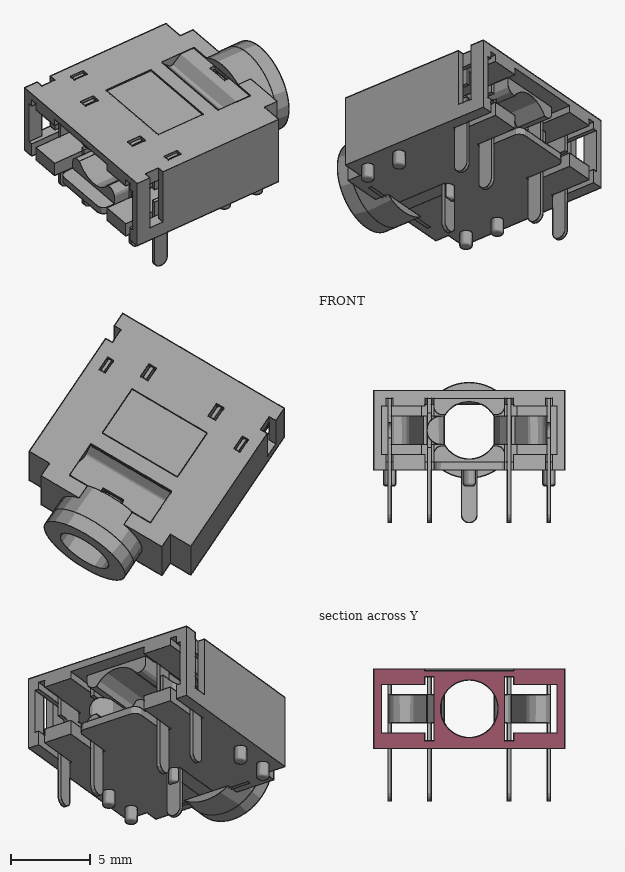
import cadquery as cq
import math


total_length = 14.0
total_height = 8.8
body_width = 12.0
body_height = 5.0
body_depth = 11.0
nose_width = 8.96
nose_depth = 1.0
barrel_dia = 6.0
flange_length = 1.0
bore_dia = 3.6
tube_dia = 4.2
tube_hole_dia = 4.21
top_z = body_height / 2
bottom_z = -top_z
barrel_end = total_length - flange_length

pin_tip_z = barrel_dia / 2 - total_height
pin_width = 1.0
tab_corner = 0.2
pin_rear = 2.0
pin_front = pin_rear + pin_width

chamber_half_width = 5.5
chamber_half_height = 1.51
chamber_depth = 10.0
groove_half_height = 2.0
frame_depth = 1.0
outer_pin_x = 5.0
outer_groove_width = 0.45
outer_front = pin_front + pin_width
inner_pin_x = 2.5
inner_groove_width = 0.56
block_half_width = inner_pin_x - inner_groove_width / 2
middle_half_width = inner_pin_x + inner_groove_width / 2
block_corner = 0.53
block_split_half = 0.98
block_split_end = 6.3
tongue_corner = 0.49
window_depth = body_width / 2 - chamber_half_width
label_front = 7.49
label_recess = 0.1

peg_dia = 0.8
peg_length = 1.0
peg_rounding = 0.17
peg_rear_y = 7.5
peg_front_y = 10.0

sleeve_width = barrel_dia
sleeve_sheet = 0.24
sleeve_slot_rear = 8.5
sleeve_plate_rear = 11.27
sleeve_top_z = 2.46
sleeve_bend = 0.69
sleeve_flat_end = 10.1
sleeve_dip_angle = math.radians(42)
sleeve_crest_radius = 0.18
sleeve_valley_radius = 0.4
sleeve_slope = 0.66
sleeve_rise = 0.6
sleeve_pin_bend = 0.35
sleeve_notch_width = 1.53
tube_end = 10.6

strip_height = 1.76
outer_sheet = 0.22
inner_sheet = 0.25
plate_notch_height = 0.98
plate_notch_depth = 0.9
outer_turn_y = 6.02
outer_turn_radius = 0.73
outer_end_y = 3.08
switch_gap = 0.01
tab_top_z = 2.45
apex_x = 1.68
left_notch_half = 1.09
left_notch_depth = 0.4
left_turn_y = 5.6
left_tip_radius = 0.98
right_bow_radius = 1.74
right_bow_end = 0.84


def box(x0, x1, y0, y1, z0, z1):
    """Block between two opposite corners."""
    return cq.Workplane("XY").box(x1 - x0, y1 - y0, z1 - z0, centered=False).translate((x0, y0, z0))


def wide_box(half_width, y0, y1, z0, z1):
    """Block centred on the X = 0 plane."""
    return box(-half_width, half_width, y0, y1, z0, z1)


def y_cylinder(diameter, y0, y1):
    """Cylinder on the plug axis."""
    return cq.Workplane("XZ", origin=(0, y0, 0)).circle(diameter / 2).extrude(y0 - y1)


def pin_blade(y0, y1, top, thickness):
    """Flat pin in a YZ plane, centred on X = 0, with a fully rounded lower end."""
    radius = (y1 - y0) / 2
    return (
        cq.Workplane("YZ", origin=(-thickness / 2, 0, 0))
        .moveTo(y0, top)
        .lineTo(y0, pin_tip_z + radius)
        .threePointArc(((y0 + y1) / 2, pin_tip_z), (y1, pin_tip_z + radius))
        .lineTo(y1, top)
        .close()
        .extrude(thickness)
    )


def strip(path, x, y, thickness):
    """Spring strip that follows a path in the XY plane; the path starts along +Y at (x, y)."""
    return (
        cq.Workplane("XZ", origin=(x, y, 0))
        .rect(thickness, strip_height)
        .sweep(path)
    )


def make_sleeve_contact():
    half = sleeve_sheet / 2
    plate_y = sleeve_plate_rear + half
    flat_z = sleeve_top_z - half
    bend_y = plate_y - sleeve_bend
    bend_z = flat_z - sleeve_bend
    diagonal = math.sqrt(0.5)
    sin_dip = math.sin(sleeve_dip_angle)
    cos_dip = math.cos(sleeve_dip_angle)
    sin_mid = math.sin(sleeve_dip_angle / 2)
    cos_mid = math.cos(sleeve_dip_angle / 2)

    crest_z = flat_z - sleeve_crest_radius
    slope_y = sleeve_flat_end - sleeve_crest_radius * sin_dip
    slope_z = crest_z + sleeve_crest_radius * cos_dip
    dip_y = slope_y - sleeve_slope * cos_dip
    dip_z = slope_z - sleeve_slope * sin_dip
    valley_y = dip_y - sleeve_valley_radius * sin_dip
    valley_z = dip_z - sleeve_valley_radius * (1 - cos_dip)
    rise_y = valley_y - sleeve_valley_radius * sin_dip
    path = (
        cq.Workplane("YZ")
        .moveTo(plate_y, bottom_z)
        .lineTo(plate_y, bend_z)
        .threePointArc(
            (bend_y + sleeve_bend * diagonal, bend_z + sleeve_bend * diagonal),
            (bend_y, flat_z),
        )
        .lineTo(sleeve_flat_end, flat_z)
        .threePointArc(
            (sleeve_flat_end - sleeve_crest_radius * sin_mid, crest_z + sleeve_crest_radius * cos_mid),
            (slope_y, slope_z),
        )
        .lineTo(dip_y, dip_z)
        .threePointArc((valley_y, valley_z), (rise_y, dip_z))
        .lineTo(rise_y - sleeve_rise * cos_dip, dip_z + sleeve_rise * sin_dip)
    )
    sheet = (
        cq.Workplane("XY", origin=(0, plate_y, bottom_z))
        .rect(sleeve_width, sleeve_sheet)
        .sweep(path)
    )
    notch = wide_box(sleeve_notch_width / 2, tube_end, body_depth, flat_z - sleeve_bend, top_z)
    sheet = sheet.cut(notch).cut(y_cylinder(tube_hole_dia, tube_end, barrel_end))

    pin_back = peg_rear_y - half
    foot = wide_box(pin_width / 2, pin_back, plate_y + half, bottom_z, bottom_z + sleeve_sheet)
    pin = (
        pin_blade(-pin_width / 2, pin_width / 2, bottom_z + sleeve_sheet, sleeve_sheet)
        .rotate((0, 0, 0), (0, 0, 1), 90)
        .translate((0, peg_rear_y, 0))
    )
    leg = foot.union(pin).edges("|X and >Z and <Y").fillet(sleeve_pin_bend)
    return sheet.union(leg)


def make_bushing():
    flange = y_cylinder(barrel_dia, barrel_end, total_length)
    tube = y_cylinder(tube_dia, tube_end, barrel_end)
    return flange.union(tube).cut(y_cylinder(bore_dia, tube_end, total_length))


def rear_chamber():
    """Rear opening with the grooves for the pins, less the block around the bore."""
    chamber = wide_box(chamber_half_width, 0, chamber_depth, -chamber_half_height, chamber_half_height)
    middle = wide_box(
        middle_half_width, 0, sleeve_plate_rear, -groove_half_height, groove_half_height
    )
    beside_plate = wide_box(
        sleeve_width / 2, 0, sleeve_plate_rear, -chamber_half_height, chamber_half_height
    )
    block = wide_box(
        block_half_width, frame_depth, sleeve_plate_rear, -groove_half_height, groove_half_height
    )
    split = wide_box(
        block_half_width + block_corner, frame_depth, block_split_end, -block_split_half, block_split_half
    )
    block = block.cut(split)
    for z in (-block_split_half, block_split_half):
        for x in (-block_half_width, block_half_width):
            edge = cq.NearestToPointSelector((x, (frame_depth + block_split_end) / 2, z))
            block = block.edges("|Y").edges(edge).fillet(block_corner)
    return chamber.union(middle).union(beside_plate).cut(block)


def outer_pin_groove():
    half = outer_groove_width / 2
    groove = wide_box(half, 0, outer_front, -groove_half_height, groove_half_height)
    roof_slot = wide_box(half, pin_front, outer_front, 0, top_z)
    floor_slit = wide_box(half, 0, pin_front, bottom_z, 0)
    return groove.union(roof_slot).union(floor_slit)


def inner_pin_groove():
    half = inner_groove_width / 2
    roof_slot = wide_box(half, pin_rear, pin_front, 0, top_z)
    floor_slit = wide_box(half, 0, pin_front, bottom_z, 0)
    return roof_slot.union(floor_slit)


def tongue_corners():
    """Waste that rounds the two rear corners of the floor tongue."""
    waste = wide_box(block_half_width, 0, tongue_corner, bottom_z, -groove_half_height)
    rounded = (
        wide_box(block_half_width, 0, 2 * tongue_corner, bottom_z, -groove_half_height)
        .edges("|Z and <Y")
        .fillet(tongue_corner)
    )
    return waste.cut(rounded)


def peg(x, y):
    return (
        cq.Workplane("XY", origin=(x, y, bottom_z))
        .circle(peg_dia / 2)
        .extrude(-peg_length)
        .faces("<Z")
        .fillet(peg_rounding)
    )


def make_housing(contact):
    housing = wide_box(body_width / 2, 0, body_depth, bottom_z, top_z)
    nose = wide_box(nose_width / 2, body_depth, body_depth + nose_depth, bottom_z, top_z)
    housing = housing.union(nose).union(y_cylinder(barrel_dia, body_depth, barrel_end))

    housing = housing.cut(rear_chamber()).cut(tongue_corners())
    housing = housing.cut(y_cylinder(bore_dia, frame_depth, barrel_end))
    housing = housing.cut(y_cylinder(tube_hole_dia, tube_end, barrel_end))

    for side in (-1, 1):
        housing = housing.cut(outer_pin_groove().translate((side * outer_pin_x, 0, 0)))
        housing = housing.cut(inner_pin_groove().translate((side * inner_pin_x, 0, 0)))
        window = wide_box(window_depth, frame_depth, pin_rear, -chamber_half_height, top_z)
        housing = housing.cut(window.translate((side * body_width / 2, 0, 0)))
        for y in (peg_rear_y, peg_front_y):
            housing = housing.union(peg(side * outer_pin_x, y))

    pin_back = peg_rear_y - sleeve_sheet / 2
    rear_half = wide_box(peg_dia, pin_back - peg_dia, pin_back, bottom_z - peg_length, bottom_z)
    housing = housing.union(peg(0, peg_rear_y).intersect(rear_half))

    label = wide_box(middle_half_width, outer_front, label_front, top_z - label_recess, top_z)
    slot = wide_box(sleeve_width / 2, sleeve_slot_rear, body_depth, chamber_half_height, top_z)
    return housing.cut(label).cut(slot).cut(contact)


def make_outer_terminal(reaches_switch):
    """Terminal on the +X side; its spring may run on alongside the inner pin plate."""
    half = outer_sheet / 2
    pin = pin_blade(pin_rear, pin_front, 0, outer_sheet)
    web = (
        wide_box(half, pin_rear, outer_front, -groove_half_height, groove_half_height)
        .edges("|X and >Z and <Y")
        .fillet(tab_corner)
    )
    tab = wide_box(half, pin_front, outer_front, 0, tab_top_z).edges("|X and >Z").fillet(tab_corner)
    notch = (
        cq.Workplane("YZ", origin=(-half, 0, 0))
        .center(pin_rear, 0)
        .slot2D(2 * plate_notch_depth, plate_notch_height)
        .extrude(outer_sheet)
    )
    plate = pin.union(web).union(tab).cut(notch).translate((outer_pin_x, 0, 0))

    turn_x = outer_pin_x - outer_turn_radius
    end_x = inner_pin_x + (inner_sheet + outer_sheet) / 2 + switch_gap
    reach_x = turn_x - end_x
    reach_y = outer_turn_y - outer_end_y
    reach = math.hypot(reach_x, reach_y)
    leave_angle = math.atan2(-reach_y, -reach_x) - math.acos(outer_turn_radius / reach)
    path = (
        cq.Workplane("XY")
        .moveTo(outer_pin_x, outer_front)
        .lineTo(outer_pin_x, outer_turn_y)
        .threePointArc(
            (turn_x, outer_turn_y + outer_turn_radius),
            (
                turn_x + outer_turn_radius * math.cos(leave_angle),
                outer_turn_y + outer_turn_radius * math.sin(leave_angle),
            ),
        )
        .lineTo(end_x, outer_end_y)
    )
    terminal = plate.union(strip(path, outer_pin_x, outer_front, outer_sheet))
    if reaches_switch:
        tail_end = outer_end_y + half
        tail = box(end_x - half, end_x + half, pin_rear, tail_end, -strip_height / 2, strip_height / 2)
        terminal = terminal.union(tail)
    return terminal


def inner_plate():
    plate = pin_blade(pin_rear, pin_front, tab_top_z, inner_sheet)
    return plate.edges("|X and >Z").fillet(tab_corner)


def make_left_inner_terminal():
    """Hairpin spring; its round tip leans out through a notch in the plate."""
    half = inner_sheet / 2
    notch = wide_box(half, pin_rear, pin_rear + left_notch_depth, -left_notch_half, left_notch_half)
    plate = inner_plate().cut(notch).translate((-inner_pin_x, 0, 0))
    turn_radius = (inner_pin_x - apex_x) / 2
    tip_x = -apex_x - left_tip_radius
    tip_y = pin_rear
    bend = left_tip_radius * math.sqrt(0.5)
    path = (
        cq.Workplane("XY")
        .moveTo(-inner_pin_x, pin_front)
        .lineTo(-inner_pin_x, left_turn_y)
        .threePointArc(
            (-inner_pin_x + turn_radius, left_turn_y + turn_radius),
            (-apex_x, left_turn_y),
        )
        .lineTo(-apex_x, tip_y + left_tip_radius)
        .threePointArc((tip_x + bend, tip_y + left_tip_radius - bend), (tip_x, tip_y))
    )
    spring = strip(path, -inner_pin_x, pin_front, inner_sheet)
    tip_round = strip_height / 2
    tip_front = tip_y + left_tip_radius - bend
    corners = box(tip_x, tip_x + tip_round, 0, tip_front, -tip_round, tip_round)
    disc = y_cylinder(strip_height, 0, tip_front).translate((tip_x + tip_round, 0, 0))
    return plate.union(spring.cut(corners.cut(disc)))


def make_right_inner_terminal():
    """Spring that bows in toward the plug from the front edge of the plate."""
    half = inner_sheet / 2
    bow_x = apex_x + right_bow_radius
    bow_y = pin_front + math.sqrt(right_bow_radius**2 - (bow_x - inner_pin_x) ** 2)
    ring = (
        cq.Workplane("XY", origin=(bow_x, bow_y, -strip_height / 2))
        .circle(right_bow_radius + half)
        .circle(right_bow_radius - half)
        .extrude(strip_height)
    )
    stretch = box(
        0, inner_pin_x + half, pin_rear, bow_y + right_bow_end, -strip_height / 2, strip_height / 2
    )
    plate = inner_plate().translate((inner_pin_x, 0, 0))
    return plate.union(ring.intersect(stretch))


sleeve_contact = make_sleeve_contact()
bushing = make_bushing()
housing = make_housing(sleeve_contact)
left_outer_terminal = make_outer_terminal(reaches_switch=False).mirror("YZ")
right_outer_terminal = make_outer_terminal(reaches_switch=True)
left_inner_terminal = make_left_inner_terminal()
right_inner_terminal = make_right_inner_terminal()

result = cq.Compound.makeCompound([
    housing.val(),
    bushing.val(),
    sleeve_contact.val(),
    left_outer_terminal.val(),
    right_outer_terminal.val(),
    left_inner_terminal.val(),
    right_inner_terminal.val(),
])